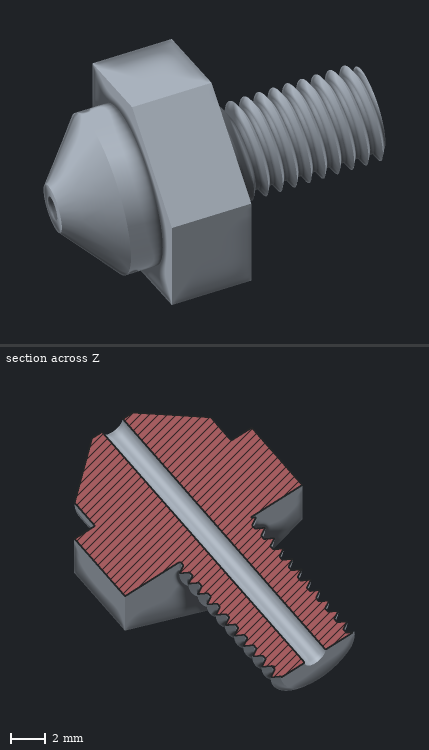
import cadquery as cq
import math

shank_length = 10.0
hex_length = 5.0
collar_length = 2.0
tip_length = 3.0

hex_across_corners = 15.0
collar_diameter = 10.0
tip_diameter = 3.0
bore_diameter = 1.5

thread_diameter = 6.0
thread_root_diameter = 4.92
thread_pitch = 0.9
thread_flank_angle = 60.0
thread_crest_offset = 0.62
thread_overlap = 0.05

head_length = hex_length + collar_length + tip_length


def make_hexagon():
    """Hexagon with corners on +Z and -Z, in front of Y = 0."""
    return (
        cq.Workplane("XZ")
        .polygon(6, hex_across_corners)
        .extrude(hex_length)
        .rotate((0, 0, 0), (0, 1, 0), 90)
    )


def make_tip():
    """Round collar and tapered tip, revolved about Y."""
    collar_front = -hex_length - collar_length
    return (
        cq.Workplane("XY")
        .moveTo(0, -hex_length)
        .lineTo(collar_diameter / 2, -hex_length)
        .lineTo(collar_diameter / 2, collar_front)
        .lineTo(tip_diameter / 2, -head_length)
        .lineTo(0, -head_length)
        .close()
        .revolve(360, (0, 0, 0), (0, 1, 0))
    )


def make_shank():
    """Right-hand thread with sharp crests and flat roots, built along Z and laid along Y."""
    crest_radius = thread_diameter / 2
    root_radius = thread_root_diameter / 2
    inner_radius = root_radius - thread_overlap
    half_width = (crest_radius - inner_radius) * math.tan(math.radians(thread_flank_angle / 2))

    ridge_start = thread_crest_offset - 2 * thread_pitch
    turns = math.ceil((shank_length - ridge_start) / thread_pitch) + 1
    ridge_length = turns * thread_pitch
    path = cq.Wire.makeHelix(
        thread_pitch, ridge_length, inner_radius, center=cq.Vector(0, 0, ridge_start)
    )
    ridge = (
        cq.Workplane("XZ")
        .polyline([
            (inner_radius, ridge_start - half_width),
            (crest_radius, ridge_start),
            (inner_radius, ridge_start + half_width),
        ])
        .close()
        .sweep(cq.Workplane(path), isFrenet=True)
    )
    core = (
        cq.Workplane("XY")
        .workplane(offset=ridge_start - half_width)
        .circle(root_radius)
        .extrude(ridge_length + 2 * half_width)
    )
    envelope = cq.Workplane("XY").circle(thread_diameter).extrude(shank_length)
    return core.union(ridge).intersect(envelope).rotate((0, 0, 0), (1, 0, 0), -90)


def make_bore():
    """Hole through the whole length."""
    return (
        cq.Workplane("XZ", origin=(0, shank_length, 0))
        .circle(bore_diameter / 2)
        .extrude(shank_length + head_length)
    )


result = make_hexagon().union(make_tip()).union(make_shank()).cut(make_bore())